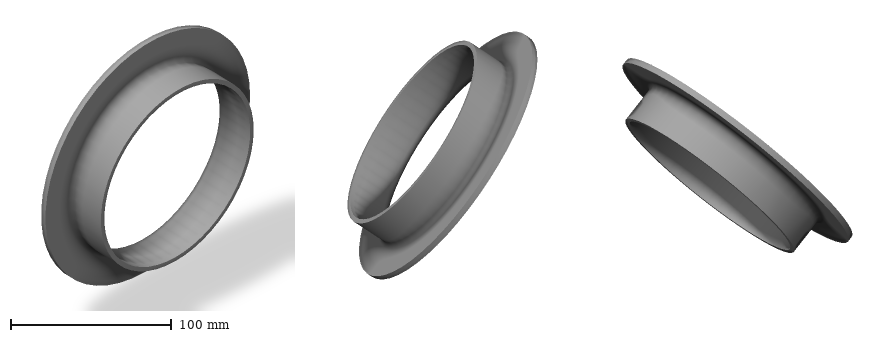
import cadquery as cq

flange_diameter = 178.0
flange_thickness = 4.0
tube_outer_diameter = 133.0
tube_inner_diameter = 127.0
total_length = 30.0
mouth_radius = 5.0
root_radius = 3.0

flange_radius = flange_diameter / 2
tube_outer_radius = tube_outer_diameter / 2
tube_inner_radius = tube_inner_diameter / 2

section = (
    cq.Workplane("XY")
    .moveTo(0, tube_inner_radius + mouth_radius)
    .lineTo(0, flange_radius)
    .lineTo(flange_thickness, flange_radius)
    .lineTo(flange_thickness, tube_outer_radius + root_radius)
    .radiusArc((flange_thickness + root_radius, tube_outer_radius), -root_radius)
    .lineTo(total_length, tube_outer_radius)
    .lineTo(total_length, tube_inner_radius)
    .lineTo(mouth_radius, tube_inner_radius)
    .radiusArc((0, tube_inner_radius + mouth_radius), mouth_radius)
    .close()
)

result = section.revolve(360, (0, 0, 0), (1, 0, 0))